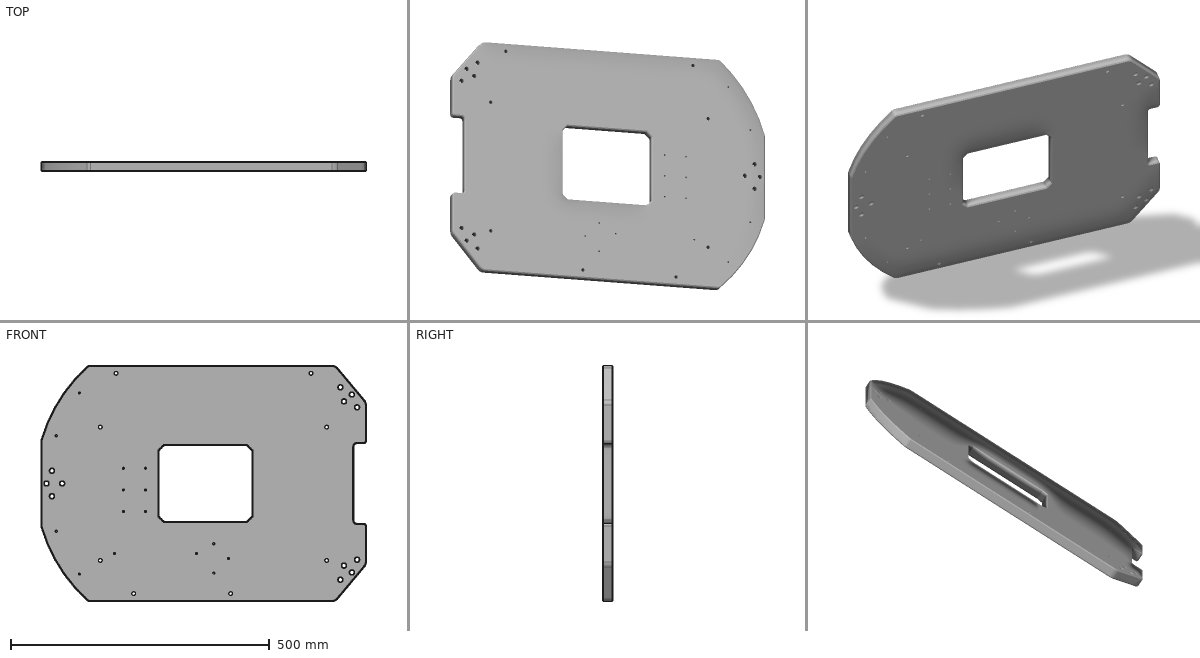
import cadquery as cq
import math

LENGTH = 628.71
HEIGHT = 457.0
THICKNESS = 20.0
EDGE_CHAMFER = 2.0

ARC_START_Z = 84.5
ARC_END_X = -223.0
ARC_RADIUS = 305.0
LEFT_CORNER_RADIUS = 10.0

SLOPE_START_X = 254.5
SLOPE_END_Z = 157.0
RIGHT_CORNER_RADIUS = 15.0

NOTCH_DEPTH = 24.3
NOTCH_WIDTH = 154.0
NOTCH_CORNER_RADIUS = 6.0
NOTCH_MOUTH_RADIUS = 5.0

WINDOW_LENGTH = 179.5
WINDOW_HEIGHT = 147.0
WINDOW_CENTRE_X = 3.2
WINDOW_CORNER_CHAMFER = 10.0

LARGE_HOLE_DIAMETER = 8.5
LARGE_HOLE_CHAMFER = 1.0
LEFT_LARGE_HOLES = [(-304.0, 0.0), (-273.7, 0.0), (-293.5, 24.6), (-293.5, -24.6)]
CORNER_LARGE_HOLES = [(264.2, 186.0), (286.3, 172.0), (271.1, 158.7), (296.4, 147.3)]

MEDIUM_HOLE_DIAMETER = 6.8
MEDIUM_GRID_X = (-200.0, 237.7)
MEDIUM_GRID_Z = (108.9, -148.7)
MEDIUM_EDGE_Z = 213.0
MEDIUM_TOP_X = (-169.5, 207.4)
MEDIUM_BOTTOM_X = (-135.4, 52.1)

ARC_HOLE_DIAMETER = 3.6
ARC_HOLES = [(-285.0, 92.3)]
RIM_HOLE_DIAMETER = 3.3
RIM_HOLES = [(-240.5, 175.2)]

SMALL_HOLE_DIAMETER = 3.3
SMALL_GRID_X = (-155.3, -112.6)
SMALL_GRID_Z = (29.4, -12.3, -54.0)
SMALL_HOLES = [(19.4, -116.5), (19.4, -173.3), (-14.0, -135.4), (47.8, -144.9), (-172.3, -135.4)]


def mirrored(points):
    """The points together with their mirror images in Z = 0."""
    return points + [(x, -z) for x, z in points]


def arc_middle(start, end, radius):
    """Middle point of the arc from start to end that bulges to the left of the direction of travel."""
    run = end[0] - start[0]
    rise = end[1] - start[1]
    chord = math.hypot(run, rise)
    bulge = radius - math.sqrt(radius**2 - (chord / 2) ** 2)
    middle_x = (start[0] + end[0]) / 2 - bulge * rise / chord
    middle_z = (start[1] + end[1]) / 2 + bulge * run / chord
    return middle_x, middle_z


def outline():
    """Plate profile with the rounded left end and the sloped right corners, extruded along Y."""
    left = -LENGTH / 2
    right = LENGTH / 2
    top = HEIGHT / 2
    arc_mid_x, arc_mid_z = arc_middle((left, ARC_START_Z), (ARC_END_X, top), ARC_RADIUS)
    plate = (
        cq.Workplane("XZ", origin=(0, THICKNESS / 2, 0))
        .moveTo(left, -ARC_START_Z)
        .lineTo(left, ARC_START_Z)
        .threePointArc((arc_mid_x, arc_mid_z), (ARC_END_X, top))
        .lineTo(SLOPE_START_X, top)
        .lineTo(right, SLOPE_END_Z)
        .lineTo(right, -SLOPE_END_Z)
        .lineTo(SLOPE_START_X, -top)
        .lineTo(ARC_END_X, -top)
        .threePointArc((arc_mid_x, -arc_mid_z), (left, -ARC_START_Z))
        .close()
        .extrude(THICKNESS)
    )
    left_corners = cq.selectors.BoxSelector((left - 1, -THICKNESS, -HEIGHT), (0, THICKNESS, HEIGHT))
    right_corners = cq.selectors.BoxSelector((0, -THICKNESS, -HEIGHT), (right + 1, THICKNESS, HEIGHT))
    plate = plate.edges("|Y").edges(left_corners).fillet(LEFT_CORNER_RADIUS)
    return plate.edges("|Y").edges(right_corners).fillet(RIGHT_CORNER_RADIUS)


def notch():
    """Cutter for the notch, open to the right, with rounded inner corners."""
    return (
        cq.Workplane("XY")
        .box(2 * NOTCH_DEPTH, THICKNESS, NOTCH_WIDTH)
        .edges("|Y and <X")
        .fillet(NOTCH_CORNER_RADIUS)
        .translate((LENGTH / 2, 0, 0))
    )


def round_notch_mouth(plate):
    """Rounds the two outer corners where the notch opens to the right side."""
    right = LENGTH / 2
    mouth_corners = cq.selectors.BoxSelector(
        (right - 1, -THICKNESS, -NOTCH_WIDTH / 2 - 1), (right + 1, THICKNESS, NOTCH_WIDTH / 2 + 1)
    )
    return plate.edges("|Y").edges(mouth_corners).fillet(NOTCH_MOUTH_RADIUS)


def window():
    """Cutter for the rectangular window with chamfered corners."""
    return (
        cq.Workplane("XY")
        .box(WINDOW_LENGTH, THICKNESS, WINDOW_HEIGHT)
        .edges("|Y")
        .chamfer(WINDOW_CORNER_CHAMFER)
        .translate((WINDOW_CENTRE_X, 0, 0))
    )


def drill(plate, points, diameter):
    """Through holes along Y at the given (X, Z) points."""
    cutters = (
        cq.Workplane("XZ", origin=(0, THICKNESS / 2, 0))
        .pushPoints(points)
        .circle(diameter / 2)
        .extrude(THICKNESS)
    )
    return plate.cut(cutters)


def chamfer_mouths(plate, points, diameter, chamfer):
    """45 degree chamfers around the front (-Y) mouths of holes at the given (X, Z) points."""
    mouth_radius = diameter / 2 + chamfer
    for x, z in points:
        cone = cq.Solid.makeCone(
            mouth_radius, diameter / 2, chamfer, cq.Vector(x, -THICKNESS / 2, z), cq.Vector(0, 1, 0)
        )
        plate = plate.cut(cq.Workplane(cone))
    return plate


def medium_hole_points():
    """Four holes in a rectangle and a pair along each long side."""
    grid = [(x, z) for x in MEDIUM_GRID_X for z in MEDIUM_GRID_Z]
    top_row = [(x, MEDIUM_EDGE_Z) for x in MEDIUM_TOP_X]
    bottom_row = [(x, -MEDIUM_EDGE_Z) for x in MEDIUM_BOTTOM_X]
    return grid + top_row + bottom_row


def small_hole_points():
    """A grid of two columns beside the window and the separate holes below it."""
    grid = [(x, z) for x in SMALL_GRID_X for z in SMALL_GRID_Z]
    return grid + SMALL_HOLES


result = round_notch_mouth(outline().cut(notch())).cut(window())
result = result.faces("<Y or >Y").edges().chamfer(EDGE_CHAMFER)
large_hole_points = LEFT_LARGE_HOLES + mirrored(CORNER_LARGE_HOLES)
result = drill(result, large_hole_points, LARGE_HOLE_DIAMETER)
result = chamfer_mouths(result, large_hole_points, LARGE_HOLE_DIAMETER, LARGE_HOLE_CHAMFER)
result = drill(result, medium_hole_points(), MEDIUM_HOLE_DIAMETER)
result = drill(result, mirrored(ARC_HOLES), ARC_HOLE_DIAMETER)
result = drill(result, mirrored(RIM_HOLES), RIM_HOLE_DIAMETER)
result = drill(result, small_hole_points(), SMALL_HOLE_DIAMETER)